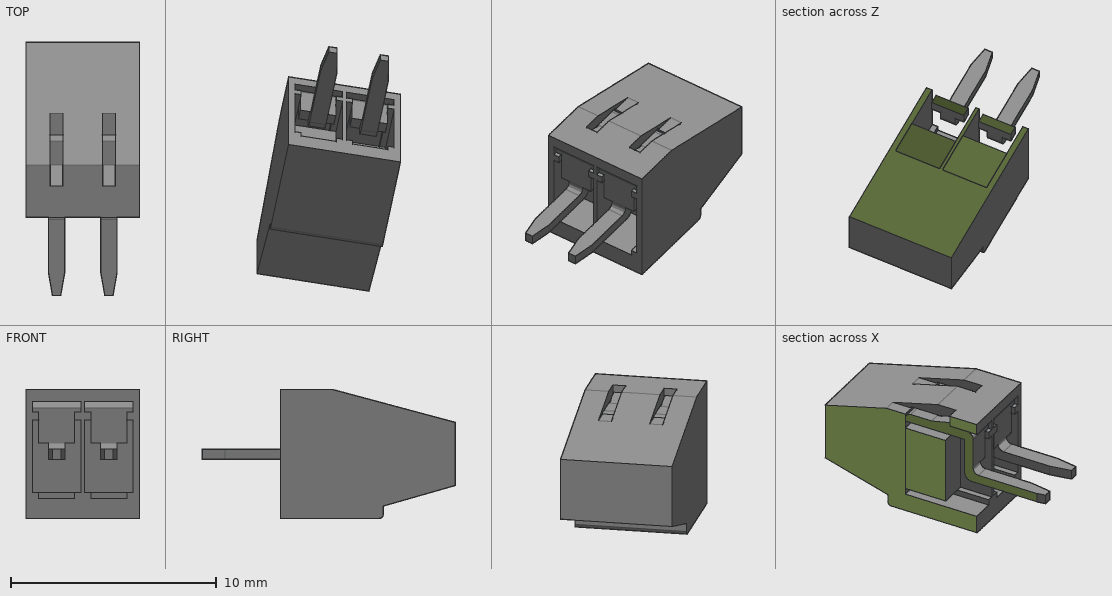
import cadquery as cq
import math

POLES = 2
PITCH = 2.54
WIDTH = 5.53
LENGTH = 8.5
HEIGHT = 6.27

TOP_FLAT_LENGTH = 2.53
TOP_SLOPE_DROP = 1.6
BASE_LENGTH = 5.0
BASE_STEP = 0.6
BASE_CORNER_RADIUS = 0.2
TAIL_RISE = 1.0

CHAMBER_WIDTH = 2.35
CHAMBER_DEPTH = 4.0
CHAMBER_TOP = HEIGHT - 0.6
CHAMBER_FLOOR = HEIGHT - 5.0
RAIL_WIDTH = 0.3
RAIL_HEIGHT = 0.38
GROOVE_DEPTH = 0.3
GUIDE_WIDTH = CHAMBER_WIDTH - 2 * RAIL_WIDTH

SLOT_WIDTH = 0.64
SLOT_FRONT = 1.53
SLOT_BACK = 5.05
SLOT_DEPTH = 0.675

SHEET = 0.5
CONTACT_RECESS = 0.2
CREST_RADIUS = 0.3
BEND_RADIUS = 0.3
HEEL_RADIUS = 0.4
PLATE_BOTTOM = HEIGHT - 2.6
PIN_WIDTH = 0.8
PIN_LENGTH = 12.3 - LENGTH
PIN_TIP_WIDTH = 0.41
PIN_TAPER_LENGTH = 1.12

TONGUE_WIDTH = 0.57
TONGUE_ANGLE = 13

CLAMP_FRONTS = (1.76, 2.22)

RAIL_TOP = CHAMBER_TOP - SHEET
RAIL_BOTTOM = RAIL_TOP - RAIL_HEIGHT


def box(width, y_front, y_back, z_low, z_high):
    """Box centred on X = 0, given by its Y and Z limits."""
    block = cq.Workplane("XY").box(width, y_back - y_front, z_high - z_low, centered=(True, False, False))
    return block.translate((0, y_front, z_low))


def extrude_profile(profile, width):
    """Extrude a closed YZ profile evenly to both sides of X = 0."""
    return profile.extrude(width / 2, both=True)


def housing_shell():
    outline = (
        cq.Workplane("YZ")
        .moveTo(0, 0)
        .lineTo(0, HEIGHT)
        .lineTo(TOP_FLAT_LENGTH, HEIGHT)
        .lineTo(LENGTH, HEIGHT - TOP_SLOPE_DROP)
        .lineTo(LENGTH, BASE_STEP + TAIL_RISE)
        .lineTo(BASE_LENGTH, BASE_STEP)
        .lineTo(BASE_LENGTH, BASE_CORNER_RADIUS)
        .radiusArc((BASE_LENGTH - BASE_CORNER_RADIUS, 0), BASE_CORNER_RADIUS)
        .close()
    )
    return extrude_profile(outline, WIDTH)


def chamber():
    """Space cut for one pole: above the rails, between them, below them, and the floor groove."""
    above_rails = box(CHAMBER_WIDTH, 0, CHAMBER_DEPTH, RAIL_TOP, CHAMBER_TOP)
    below_rails = box(CHAMBER_WIDTH, 0, CHAMBER_DEPTH, CHAMBER_FLOOR, RAIL_BOTTOM)
    guide = box(GUIDE_WIDTH, 0, CHAMBER_DEPTH, CHAMBER_FLOOR - GROOVE_DEPTH, CHAMBER_TOP)
    return above_rails.union(below_rails).union(guide)


def latch_slot():
    return box(SLOT_WIDTH, SLOT_FRONT, SLOT_BACK, HEIGHT - SLOT_DEPTH, HEIGHT)


def contact_top():
    """Wide top sheet resting on the rails, with rounded front and back upper edges."""
    sheet = box(CHAMBER_WIDTH, CONTACT_RECESS, CHAMBER_DEPTH, RAIL_TOP, CHAMBER_TOP)
    return sheet.edges("|X and >Z").fillet(CREST_RADIUS)


def contact_plate():
    return box(GUIDE_WIDTH, CONTACT_RECESS, CONTACT_RECESS + SHEET, PLATE_BOTTOM, RAIL_TOP)


def contact_pin():
    """Pin bent forward from the bottom of the plate, with a tapered tip."""
    plate_back = CONTACT_RECESS + SHEET
    pin_top = PLATE_BOTTOM - BEND_RADIUS
    pin_bottom = pin_top - SHEET
    bend_end = CONTACT_RECESS - BEND_RADIUS
    profile = (
        cq.Workplane("YZ")
        .moveTo(CONTACT_RECESS, PLATE_BOTTOM)
        .radiusArc((bend_end, pin_top), BEND_RADIUS)
        .lineTo(-PIN_LENGTH, pin_top)
        .lineTo(-PIN_LENGTH, pin_bottom)
        .lineTo(plate_back - HEEL_RADIUS, pin_bottom)
        .radiusArc((plate_back, pin_bottom + HEEL_RADIUS), -HEEL_RADIUS)
        .lineTo(plate_back, PLATE_BOTTOM)
        .close()
    )
    taper_start = PIN_TAPER_LENGTH - PIN_LENGTH
    plan = (
        cq.Workplane("XY")
        .moveTo(-PIN_WIDTH / 2, CONTACT_RECESS + SHEET)
        .lineTo(-PIN_WIDTH / 2, taper_start)
        .lineTo(-PIN_TIP_WIDTH / 2, -PIN_LENGTH)
        .lineTo(PIN_TIP_WIDTH / 2, -PIN_LENGTH)
        .lineTo(PIN_WIDTH / 2, taper_start)
        .lineTo(PIN_WIDTH / 2, CONTACT_RECESS + SHEET)
        .close()
        .extrude(HEIGHT)
    )
    return extrude_profile(profile, PIN_WIDTH).intersect(plan)


def latch_tongue():
    """Wedge rising forward from the top sheet until it meets the front of the latch slot."""
    rise = (TOP_FLAT_LENGTH - SLOT_FRONT) * math.tan(math.radians(TONGUE_ANGLE))
    profile = (
        cq.Workplane("YZ")
        .moveTo(TOP_FLAT_LENGTH, CHAMBER_TOP)
        .lineTo(SLOT_FRONT, CHAMBER_TOP + rise)
        .lineTo(SLOT_FRONT, CHAMBER_TOP)
        .close()
    )
    return extrude_profile(profile, TONGUE_WIDTH)


def make_contact():
    return contact_top().union(contact_plate()).union(contact_pin()).union(latch_tongue())


def make_clamp(front):
    return box(CHAMBER_WIDTH, front, CHAMBER_DEPTH, CHAMBER_FLOOR, RAIL_BOTTOM)


housing = housing_shell()
contacts = []
clamps = []
for pole in range(POLES):
    pole_place = ((pole - (POLES - 1) / 2) * PITCH, 0, 0)
    housing = housing.cut(chamber().translate(pole_place)).cut(latch_slot().translate(pole_place))
    contacts.append(make_contact().translate(pole_place).val())
    clamps.append(make_clamp(CLAMP_FRONTS[pole]).translate(pole_place).val())

result = cq.Compound.makeCompound([housing.val(), *contacts, *clamps])